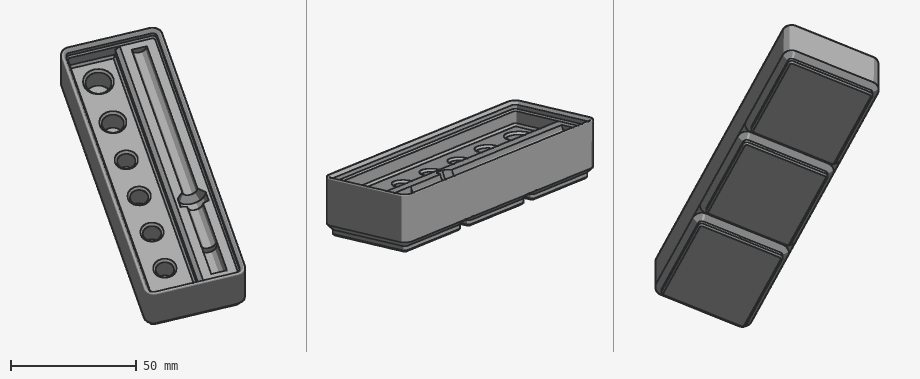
import cadquery as cq
import math

LENGTH = 126.0
WIDTH = LENGTH / 3
HEIGHT = 24.8
CORNER_RADIUS = 4.0
SLOPE_ANGLE = 45

FOOT_COUNT = 3
FOOT_PITCH = LENGTH / FOOT_COUNT
FOOT_CHAMFER = 0.81
FOOT_BAND = 1.8
FOOT_FLARE = 2.4
FEET_HEIGHT = FOOT_CHAMFER + FOOT_BAND + FOOT_FLARE

RIM_FILLET = 0.6
LIP_UPPER_SLOPE = 2.1
LIP_BAND = 1.8
LIP_LOWER_SLOPE = 0.8
LIP_WIDTH = LIP_UPPER_SLOPE + LIP_LOWER_SLOPE
RIDGE_HEIGHT = HEIGHT + RIM_FILLET * math.sqrt(2)

SHELF_HEIGHT = RIDGE_HEIGHT - LIP_UPPER_SLOPE - LIP_BAND - LIP_LOWER_SLOPE
SHELF_FRONT = 1.8
SHELF_CHAMFER = 1.9
POCKET_SIDE = WIDTH / 2 - LIP_WIDTH
POCKET_FLOOR = 15.0
POCKET_CHAMFER = 1.0

CRADLE_Y = (SHELF_FRONT + SHELF_CHAMFER + POCKET_SIDE) / 2
CRADLE_END = 57.1
SHANK_RADIUS = 3.2
BIT_RADIUS = 3.3
COLLAR_RADIUS = 5.8
COLLAR_START = 15.4
COLLAR_CREST_END = 22.2
COLLAR_END = 22.9
RELIEF_START = 42.3
RELIEF_DROP = 3.0

SOCKET_DIAMETERS = [10.3, 8.8, 7.3, 7.3, 7.3, 7.3]
SOCKET_CHAMFER = 1.0
SOCKET_GAP = 9.1
FIRST_SOCKET_X = -49.9
SOCKET_Y = (SHELF_FRONT - POCKET_SIDE) / 2
SOCKET_FLOOR = FEET_HEIGHT

OVERCUT = 1.3


def rounded_plate(length, width, radius, bottom, height, x=0.0, flare=0.0):
    """Rounded rectangle extruded upward; flare is the outward draft in degrees."""
    outline = cq.Sketch().rect(length, width).vertices().fillet(radius)
    return cq.Workplane("XY", origin=(x, 0, bottom)).placeSketch(outline).extrude(height, taper=-flare)


def foot(x):
    """One foot centred at x; its flare reaches the full cell size at the top."""
    inset = FOOT_FLARE
    side_x = FOOT_PITCH - 2 * inset
    side_y = WIDTH - 2 * inset
    radius = CORNER_RADIUS - inset
    band_top = FOOT_CHAMFER + FOOT_BAND
    band = rounded_plate(side_x, side_y, radius, 0, band_top, x).faces("<Z").chamfer(FOOT_CHAMFER)
    return band.union(rounded_plate(side_x, side_y, radius, band_top, FOOT_FLARE, x, SLOPE_ANGLE))


def inset_plate(inset, bottom, height, flare=0.0):
    """Plate following the block's outline, moved inward by inset."""
    return rounded_plate(
        LENGTH - 2 * inset, WIDTH - 2 * inset, CORNER_RADIUS - inset, bottom, height, flare=flare
    )


def lip_opening():
    """Space inside the stacking lip, down to the shelf surface."""
    band_bottom = SHELF_HEIGHT + LIP_LOWER_SLOPE
    band_top = band_bottom + LIP_BAND
    lower = inset_plate(LIP_WIDTH, SHELF_HEIGHT, LIP_LOWER_SLOPE, SLOPE_ANGLE)
    band = inset_plate(LIP_UPPER_SLOPE, band_bottom, LIP_BAND)
    upper = inset_plate(LIP_UPPER_SLOPE, band_top, LIP_UPPER_SLOPE + OVERCUT, SLOPE_ANGLE)
    return lower.union(band).union(upper)


def front_pocket():
    """Pocket in front of the shelf, with the bevel along the shelf's front edge."""
    depth = SHELF_HEIGHT - POCKET_FLOOR
    cavity = inset_plate(LIP_WIDTH, POCKET_FLOOR, depth)
    shelf_block = (
        cq.Workplane("XY", origin=(0, SHELF_FRONT, POCKET_FLOOR))
        .box(LENGTH, WIDTH, depth, centered=(True, False, False))
    )
    pocket = cavity.cut(shelf_block).faces("<Z").chamfer(POCKET_CHAMFER)
    edge_chamfer = (
        cq.Workplane("YZ")
        .moveTo(SHELF_FRONT, SHELF_HEIGHT)
        .lineTo(SHELF_FRONT, SHELF_HEIGHT - SHELF_CHAMFER)
        .lineTo(SHELF_FRONT + SHELF_CHAMFER, SHELF_HEIGHT)
        .close()
        .extrude(LENGTH / 2 - LIP_WIDTH, both=True)
    )
    return pocket.union(edge_chamfer)


def driver_cradle():
    """Turned driver shape lying along X with its axis in the shelf surface."""
    cone_length = COLLAR_RADIUS - SHANK_RADIUS
    driver = (
        cq.Workplane("XY", origin=(0, CRADLE_Y, SHELF_HEIGHT))
        .moveTo(-CRADLE_END, 0)
        .lineTo(-CRADLE_END, SHANK_RADIUS)
        .lineTo(COLLAR_START, SHANK_RADIUS)
        .lineTo(COLLAR_START + cone_length, COLLAR_RADIUS)
        .lineTo(COLLAR_CREST_END, COLLAR_RADIUS)
        .lineTo(COLLAR_END, BIT_RADIUS)
        .lineTo(CRADLE_END, BIT_RADIUS)
        .lineTo(CRADLE_END, 0)
        .close()
        .revolve(360, (0, 0), (1, 0))
    )
    relief_length = CRADLE_END - RELIEF_START
    relief = (
        cq.Workplane("YZ", origin=(RELIEF_START, CRADLE_Y, SHELF_HEIGHT))
        .moveTo(-BIT_RADIUS, 0)
        .lineTo(-BIT_RADIUS, -RELIEF_DROP)
        .threePointArc((0, -RELIEF_DROP - BIT_RADIUS), (BIT_RADIUS, -RELIEF_DROP))
        .lineTo(BIT_RADIUS, 0)
        .close()
        .extrude(relief_length)
    )
    return driver.union(relief)


def socket(x, diameter):
    """Straight bore that widens into a chamfer at the pocket floor."""
    bore = (
        cq.Workplane("XY", origin=(x, SOCKET_Y, SOCKET_FLOOR))
        .circle(diameter / 2)
        .extrude(POCKET_FLOOR - SOCKET_FLOOR)
    )
    mouth = (
        cq.Workplane("XY", origin=(x, SOCKET_Y, POCKET_FLOOR - SOCKET_CHAMFER))
        .circle(diameter / 2)
        .extrude(SOCKET_CHAMFER, taper=-SLOPE_ANGLE)
    )
    return bore.union(mouth)


body = inset_plate(0, FEET_HEIGHT, RIDGE_HEIGHT - FEET_HEIGHT)
body = body.cut(lip_opening())
body = body.edges(">Z").fillet(RIM_FILLET)

for index in range(FOOT_COUNT):
    body = body.union(foot((index - (FOOT_COUNT - 1) / 2) * FOOT_PITCH))

body = body.cut(front_pocket())
body = body.cut(driver_cradle())

mouth_left = FIRST_SOCKET_X - SOCKET_DIAMETERS[0] / 2 - SOCKET_CHAMFER
for diameter in SOCKET_DIAMETERS:
    mouth_radius = diameter / 2 + SOCKET_CHAMFER
    body = body.cut(socket(mouth_left + mouth_radius, diameter))
    mouth_left += 2 * mouth_radius + SOCKET_GAP

result = body